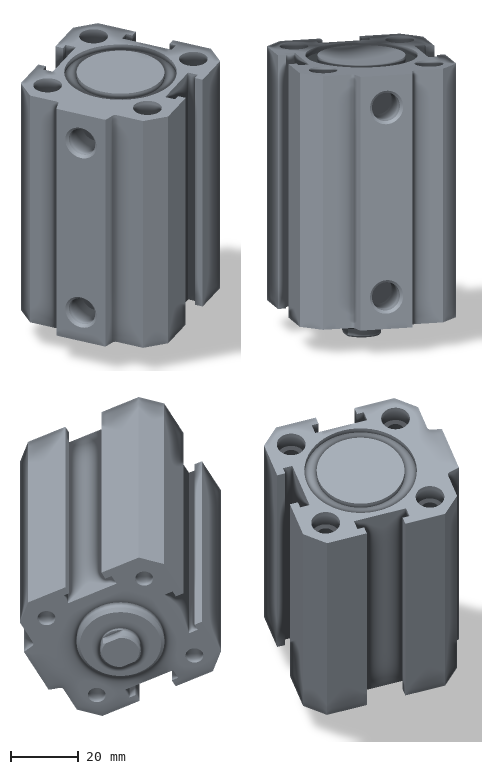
import cadquery as cq
import math


BODY_WIDTH = 48.0
BODY_HEIGHT = 77.0
CORNER_CHAMFER = 5.6

RIB_HEIGHT = 4.0
RIB_TIP_WIDTH = 16.0
RIB_FLANK_ANGLE = 15.0
RIB_ROOT_RADIUS = 1.0

SLOT_MOUTH_WIDTH = 12.0
SLOT_INNER_WIDTH = 16.2
SLOT_LIP = 2.5
SIDE_SLOT_DEPTH = 5.7
BACK_SLOT_DEPTH = 5.4

MOUNT_SPACING = 32.5
MOUNT_DIAMETER = 5.3
COUNTERBORE_DIAMETER = 8.5
COUNTERBORE_DEPTH = 5.5

RECESS_DIAMETER = 33.3
RECESS_DEPTH = 1.8
HEAD_DIAMETER = 26.0

PORT_DIAMETER = 8.57
PORT_CHAMFER = 0.8
PORT_DEPTH = 10.0
PORT_END_OFFSET = 9.75

COLLAR_DIAMETER = HEAD_DIAMETER
COLLAR_HEIGHT = 3.5
COLLAR_CHAMFER = 1.0

ROD_DIAMETER = 12.0
ROD_PROJECTION = 4.0
ROD_SEAT_DEPTH = COLLAR_HEIGHT
ROD_CHAMFER = 0.5
WRENCH_WIDTH = 10.0
WRENCH_OFFSET = 0.9

HALF_WIDTH = BODY_WIDTH / 2
COLLAR_BOTTOM = -COLLAR_HEIGHT
ROD_BOTTOM = COLLAR_BOTTOM - ROD_PROJECTION


def body_block():
    """Square extrusion with four chamfered corners."""
    block = cq.Workplane("XY").rect(BODY_WIDTH, BODY_WIDTH).extrude(BODY_HEIGHT)
    return block.edges("|Z").chamfer(CORNER_CHAMFER)


def port_rib():
    """Tapered rib whose flanks run into the body through concave root arcs."""
    flank = math.radians(RIB_FLANK_ANGLE)
    half_tip = RIB_TIP_WIDTH / 2
    tip_y = -HALF_WIDTH - RIB_HEIGHT
    arc_center_y = -HALF_WIDTH - RIB_ROOT_RADIUS
    flank_end_y = arc_center_y + RIB_ROOT_RADIUS * math.sin(flank)
    flank_end_x = half_tip + (flank_end_y - tip_y) * math.tan(flank)
    arc_center_x = flank_end_x + RIB_ROOT_RADIUS * math.cos(flank)
    arc_middle = (flank + math.pi / 2) / 2
    middle_x = arc_center_x - RIB_ROOT_RADIUS * math.cos(arc_middle)
    middle_y = arc_center_y + RIB_ROOT_RADIUS * math.sin(arc_middle)
    return (
        cq.Workplane("XY")
        .moveTo(-half_tip, tip_y)
        .lineTo(half_tip, tip_y)
        .lineTo(flank_end_x, flank_end_y)
        .threePointArc((middle_x, middle_y), (arc_center_x, -HALF_WIDTH))
        .lineTo(arc_center_x, 0)
        .lineTo(-arc_center_x, 0)
        .lineTo(-arc_center_x, -HALF_WIDTH)
        .threePointArc((-middle_x, middle_y), (-flank_end_x, flank_end_y))
        .close()
        .extrude(BODY_HEIGHT)
    )


def sensor_slot(depth, angle):
    """T-slot cutter for the +X side, turned about Z by the given angle."""
    mouth = (
        cq.Workplane("XY")
        .center(HALF_WIDTH - depth / 2, 0)
        .rect(depth, SLOT_MOUTH_WIDTH)
        .extrude(BODY_HEIGHT)
    )
    inner_depth = depth - SLOT_LIP
    inner = (
        cq.Workplane("XY")
        .center(HALF_WIDTH - SLOT_LIP - inner_depth / 2, 0)
        .rect(inner_depth, SLOT_INNER_WIDTH)
        .extrude(BODY_HEIGHT)
    )
    return mouth.union(inner).rotate((0, 0, 0), (0, 0, 1), angle)


def head_recess():
    """Ring-shaped cutter that leaves the round head standing."""
    return (
        cq.Workplane("XY", origin=(0, 0, BODY_HEIGHT - RECESS_DEPTH))
        .circle(RECESS_DIAMETER / 2)
        .circle(HEAD_DIAMETER / 2)
        .extrude(RECESS_DEPTH)
    )


def air_port(height):
    """Blind port cutter with a 45 degree mouth, entering the rib face along +Y."""
    radius = PORT_DIAMETER / 2
    mouth_radius = radius + PORT_CHAMFER
    rib_face_y = -HALF_WIDTH - RIB_HEIGHT
    return (
        cq.Workplane("XY")
        .moveTo(0, 0)
        .lineTo(mouth_radius, 0)
        .lineTo(radius, PORT_CHAMFER)
        .lineTo(radius, PORT_DEPTH)
        .lineTo(0, PORT_DEPTH)
        .close()
        .revolve(360, (0, 0), (0, 1))
        .translate((0, rib_face_y, height))
    )


def guide_collar():
    """Round collar under the body with a chamfered lower rim."""
    collar = cq.Workplane("XY").circle(COLLAR_DIAMETER / 2).extrude(-COLLAR_HEIGHT)
    return collar.faces("<Z").chamfer(COLLAR_CHAMFER)


def rod_seat():
    """Blind hole for the rod, open at the collar's lower face."""
    return (
        cq.Workplane("XY", origin=(0, 0, COLLAR_BOTTOM))
        .circle(ROD_DIAMETER / 2)
        .extrude(ROD_SEAT_DEPTH)
    )


def make_housing():
    body = body_block().union(port_rib())
    for angle in (0, 180):
        body = body.cut(sensor_slot(SIDE_SLOT_DEPTH, angle))
    body = body.cut(sensor_slot(BACK_SLOT_DEPTH, 90))
    body = (
        body.faces(">Z")
        .workplane(origin=(0, 0, BODY_HEIGHT))
        .rect(MOUNT_SPACING, MOUNT_SPACING, forConstruction=True)
        .vertices()
        .cboreHole(MOUNT_DIAMETER, COUNTERBORE_DIAMETER, COUNTERBORE_DEPTH)
    )
    body = body.cut(head_recess())
    for height in (PORT_END_OFFSET, BODY_HEIGHT - PORT_END_OFFSET):
        body = body.cut(air_port(height))
    return body.union(guide_collar()).cut(rod_seat())


def make_piston_rod():
    """Round rod with a chamfered end and two wrench flats facing -X and +X."""
    rod = (
        cq.Workplane("XY", origin=(0, 0, ROD_BOTTOM))
        .circle(ROD_DIAMETER / 2)
        .extrude(ROD_PROJECTION + ROD_SEAT_DEPTH)
        .faces("<Z")
        .chamfer(ROD_CHAMFER)
    )
    flat_length = ROD_PROJECTION - WRENCH_OFFSET
    flat_cut = (
        cq.Workplane("XY", origin=(0, 0, ROD_BOTTOM))
        .rect(2 * ROD_DIAMETER, 2 * ROD_DIAMETER)
        .rect(WRENCH_WIDTH, 2 * ROD_DIAMETER)
        .extrude(flat_length)
    )
    return rod.cut(flat_cut)


housing = make_housing()
piston_rod = make_piston_rod()

result = cq.Compound.makeCompound([housing.val(), piston_rod.val()])